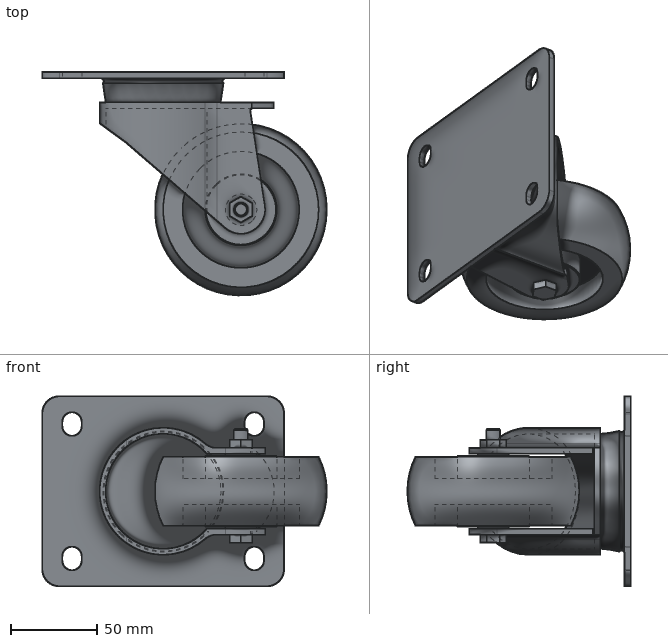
import cadquery as cq
import math


PLATE_X = 140.0
PLATE_Z = 110.0
PLATE_THICK = 3.6
PLATE_CORNER = 10.0
SLOT_PITCH_X = 105.4
SLOT_PITCH_Z = 77.7
SLOT_WIDTH = 11.0
SLOT_LENGTH = 13.5

CUP_TOP_RADIUS = 35.0
CUP_BOTTOM_RADIUS = 33.3
FLARE_RADIUS = 36.2
FLARE_NECK_RADIUS = 34.5
FLARE_HEIGHT = 3.0

FORK_TOP = -17.6
FORK_WALL = 3.5
FORK_RADIUS = 73.5 / 2
FORK_INNER_RADIUS = FORK_RADIUS - FORK_WALL
CHEEK_OUTER_Z = 25.0
CHEEK_INNER_Z = CHEEK_OUTER_Z - FORK_WALL
CHEEK_BEND = 10.5
LUG_RADIUS = 14.0
FORK_REAR_BOTTOM = -29.6
REAR_KNEE_X = -21.4
REAR_KNEE_Y = -40.8
CHEEK_EDGE_X = 51.4
CHEEK_RELIEF = 1.0
TAB_END_X = 64.0

AXLE_X = 45.0
AXLE_Y = -79.5
WHEEL_RADIUS = 49.7
WHEEL_FACE_RADIUS = 45.0
WHEEL_HALF_WIDTH = 20.0
RECESS_RADIUS = 67.5 / 2
RECESS_DEPTH = 12.5
HUB_RADIUS = 41.5 / 2
HUB_HALF_WIDTH = 20.6
HUB_CHAMFER = 0.5
SPACER_RADIUS = 9.0

BOLT_RADIUS = 8.0 / 2
BOLT_END_Z = 36.0
BOLT_CHAMFER = 0.7
HEX_CORNERS = 15.0
HEX_HEIGHT = 4.6


def mounting_plate():
    plate = (
        cq.Workplane("XZ")
        .rect(PLATE_X, PLATE_Z)
        .extrude(PLATE_THICK)
        .edges("|Y")
        .fillet(PLATE_CORNER)
    )
    slots = (
        cq.Workplane("XZ")
        .rarray(SLOT_PITCH_X, SLOT_PITCH_Z, 2, 2)
        .slot2D(SLOT_LENGTH, SLOT_WIDTH, 90)
        .extrude(PLATE_THICK)
    )
    return plate.cut(slots)


def swivel_cup():
    """Tapered cup with a concave flare where it meets the plate."""
    return (
        cq.Workplane("XY")
        .moveTo(0, -PLATE_THICK)
        .lineTo(FLARE_RADIUS, -PLATE_THICK)
        .threePointArc(
            (FLARE_NECK_RADIUS, -PLATE_THICK - FLARE_HEIGHT / 2),
            (CUP_TOP_RADIUS, -PLATE_THICK - FLARE_HEIGHT),
        )
        .lineTo(CUP_BOTTOM_RADIUS, FORK_TOP)
        .lineTo(0, FORK_TOP)
        .close()
        .revolve(360, (0, 0, 0), (0, 1, 0))
    )


def fork_footprint(end_x):
    """Keyhole outline of the fork, looking along Y, up to a straight end."""
    bend_z = CHEEK_OUTER_Z + CHEEK_BEND
    bend_distance = FORK_RADIUS + CHEEK_BEND
    bend_x = math.sqrt(bend_distance**2 - bend_z**2)
    start_x = bend_x * FORK_RADIUS / bend_distance
    start_z = bend_z * FORK_RADIUS / bend_distance
    toward_ring = math.atan2(-bend_z, -bend_x)
    middle = (toward_ring - math.pi / 2) / 2
    middle_x = bend_x + CHEEK_BEND * math.cos(middle)
    middle_z = bend_z + CHEEK_BEND * math.sin(middle)
    return (
        cq.Workplane("XZ", origin=(0, FORK_TOP, 0))
        .moveTo(end_x, CHEEK_OUTER_Z)
        .lineTo(bend_x, CHEEK_OUTER_Z)
        .threePointArc((middle_x, middle_z), (start_x, start_z))
        .threePointArc((-FORK_RADIUS, 0), (start_x, -start_z))
        .threePointArc((middle_x, -middle_z), (bend_x, -CHEEK_OUTER_Z))
        .lineTo(end_x, -CHEEK_OUTER_Z)
    )


def lug_tangent(x, y, side):
    """Direction angle, at the axle, of the tangent point of a line from (x, y)."""
    distance = math.hypot(x - AXLE_X, y - AXLE_Y)
    toward_point = math.atan2(y - AXLE_Y, x - AXLE_X)
    return toward_point + side * math.acos(LUG_RADIUS / distance)


def lug_point(angle):
    return AXLE_X + LUG_RADIUS * math.cos(angle), AXLE_Y + LUG_RADIUS * math.sin(angle)


def fork_side_profile():
    """Side shape of the fork: sloping sides that run tangent into the lug."""
    tab_bottom = FORK_TOP - FORK_WALL
    relief_x = CHEEK_EDGE_X - CHEEK_RELIEF
    relief_y = tab_bottom - CHEEK_RELIEF
    front_angle = lug_tangent(relief_x, relief_y, -1)
    rear_angle = lug_tangent(REAR_KNEE_X, REAR_KNEE_Y, 1) - 2 * math.pi
    return (
        cq.Workplane("XY")
        .moveTo(-FORK_RADIUS, FORK_TOP)
        .lineTo(CHEEK_EDGE_X, FORK_TOP)
        .lineTo(CHEEK_EDGE_X, tab_bottom)
        .lineTo(relief_x, relief_y)
        .lineTo(*lug_point(front_angle))
        .threePointArc(lug_point((front_angle + rear_angle) / 2), lug_point(rear_angle))
        .lineTo(REAR_KNEE_X, REAR_KNEE_Y)
        .lineTo(-FORK_RADIUS, FORK_REAR_BOTTOM)
        .close()
        .extrude(FORK_RADIUS, both=True)
    )


def fork():
    lug_end_x = AXLE_X + LUG_RADIUS
    depth = FORK_TOP - AXLE_Y + LUG_RADIUS
    ring_bore = cq.Workplane("XZ", origin=(0, FORK_TOP, 0)).circle(FORK_INNER_RADIUS).extrude(depth)
    cheek_gap = (
        cq.Workplane("XZ", origin=(lug_end_x / 2, FORK_TOP, 0))
        .rect(lug_end_x, 2 * CHEEK_INNER_Z)
        .extrude(depth)
    )
    walls = fork_footprint(lug_end_x).close().extrude(depth).cut(ring_bore).cut(cheek_gap)
    walls = walls.intersect(fork_side_profile())
    top_plate = (
        fork_footprint(CHEEK_EDGE_X)
        .threePointArc((TAB_END_X, 0), (CHEEK_EDGE_X, CHEEK_OUTER_Z))
        .close()
        .extrude(FORK_WALL)
    )
    return walls.union(top_plate)


def axle_cylinder(radius, half_length):
    return cq.Workplane("XY", origin=(AXLE_X, AXLE_Y, 0)).circle(radius).extrude(half_length, both=True)


def wheel():
    """Crowned wheel with a recess around the hub on both faces."""
    web_half = WHEEL_HALF_WIDTH - RECESS_DEPTH
    rim = (
        cq.Workplane("XZ", origin=(AXLE_X, AXLE_Y, 0))
        .moveTo(0, -web_half)
        .lineTo(RECESS_RADIUS, -web_half)
        .lineTo(RECESS_RADIUS, -WHEEL_HALF_WIDTH)
        .lineTo(WHEEL_FACE_RADIUS, -WHEEL_HALF_WIDTH)
        .threePointArc((WHEEL_RADIUS, 0), (WHEEL_FACE_RADIUS, WHEEL_HALF_WIDTH))
        .lineTo(RECESS_RADIUS, WHEEL_HALF_WIDTH)
        .lineTo(RECESS_RADIUS, web_half)
        .lineTo(0, web_half)
        .close()
        .revolve(360, (0, 0, 0), (0, 1, 0))
    )
    hub = axle_cylinder(HUB_RADIUS, HUB_HALF_WIDTH).faces("|Z").chamfer(HUB_CHAMFER)
    spacer = axle_cylinder(SPACER_RADIUS, CHEEK_INNER_Z)
    return rim.union(hub).union(spacer)


def axle_bolt():
    """Bolt with a hexagon outside each cheek and a threaded end toward +Z."""
    hex_half = CHEEK_OUTER_Z + HEX_HEIGHT
    hexagons = (
        cq.Workplane("XY", origin=(AXLE_X, AXLE_Y, 0))
        .transformed(rotate=(0, 0, 90))
        .polygon(6, HEX_CORNERS)
        .extrude(hex_half, both=True)
    )
    shank = (
        cq.Workplane("XY", origin=(AXLE_X, AXLE_Y, 0))
        .circle(BOLT_RADIUS)
        .extrude(BOLT_END_Z)
        .faces(">Z")
        .chamfer(BOLT_CHAMFER)
    )
    return hexagons.union(shank)


result = mounting_plate().union(swivel_cup()).union(fork()).union(wheel()).union(axle_bolt())